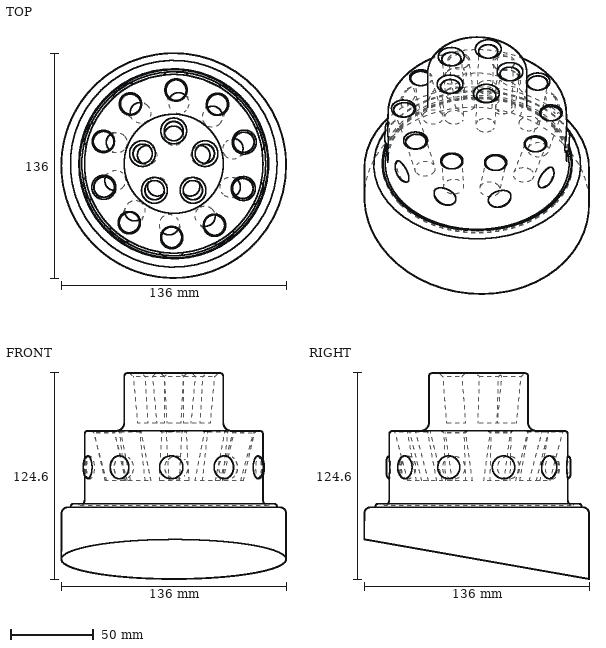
import cadquery as cq
import math

base_diameter = 136.0
base_top_z = 43.5
base_edge_radius = 4.0
underside_slope = 10.0

turret_axis_y = 1.1

collar_diameter = 125.0
collar_bore = 114.8
collar_height = 2.2
collar_edge_radius = 2.0

foot_diameter = 113.8
drum_diameter = 108.0
drum_top_z = 89.6
post_diameter = 60.0
post_top_z = 124.6
turret_edge_radius = 1.9
post_cove_radius = 5.0
foot_height = 1.1
foot_cove_radius = 5.0
foot_cove_height = 3.7

drum_hole_angles = (1.8, 36.4, 72.9, 109.6, 146.4, 181.6, 217.0, 251.4, 287.6, 324.1)
drum_hole_circle_radius = 44.6
drum_hole_diameter = 12.1
drum_hole_lean = 15.0
drum_hole_skew = 13.0
drum_hole_depth = 29.9
drum_countersink = 0.7
wide_drum_countersink = 1.2
wide_countersink_holes = (2, 3, 7)

button_count = 10
first_button_angle = 1.6
button_diameter = 14.3
button_edge_radius = 2.7
button_face_radius = 55.6
button_z = 67.6

post_hole_count = 5
post_hole_circle_radius = 19.9
post_hole_diameter = 11.5
post_hole_lean = 5.5
post_hole_depth = 29.9
post_countersink = 2.0


def make_base():
    radius = base_diameter / 2
    slope_rise = base_diameter * math.tan(math.radians(underside_slope))
    disc = cq.Workplane("XY").circle(radius).extrude(base_top_z)
    disc = disc.faces(">Z").edges().fillet(base_edge_radius)
    wedge = (
        cq.Workplane("YZ")
        .polyline([(radius, 0), (-radius, slope_rise), (-radius, 0)])
        .close()
        .extrude(radius, both=True)
    )
    return disc.cut(wedge)


def make_collar():
    ring = (
        cq.Workplane("XY", origin=(0, turret_axis_y, base_top_z))
        .circle(collar_diameter / 2)
        .extrude(collar_height)
        .faces(">Z")
        .edges()
        .fillet(collar_edge_radius)
    )
    return ring.faces(">Z").workplane().hole(collar_bore)


def make_turret_body():
    """Revolve the half profile about the Z axis, starting at the bottom centre."""
    diagonal = math.sqrt(0.5)
    foot_radius = foot_diameter / 2
    drum_radius = drum_diameter / 2
    post_radius = post_diameter / 2
    edge = turret_edge_radius
    foot_top_z = base_top_z + foot_height
    foot_cove_end_angle = math.asin(foot_cove_height / foot_cove_radius)

    def foot_cove_point(angle):
        """Point of the foot cove, with the angle measured from where the cove meets the drum."""
        return (
            drum_radius + foot_cove_radius * (1 - math.cos(angle)),
            foot_top_z + foot_cove_height - foot_cove_radius * math.sin(angle),
        )

    post_cove_middle = post_radius + post_cove_radius * (1 - diagonal)
    edge_inset = edge * (1 - diagonal)
    return (
        cq.Workplane("XZ")
        .moveTo(0, base_top_z)
        .lineTo(foot_radius, base_top_z)
        .lineTo(foot_radius, foot_top_z)
        .lineTo(*foot_cove_point(foot_cove_end_angle))
        .threePointArc(foot_cove_point(foot_cove_end_angle / 2), foot_cove_point(0))
        .lineTo(drum_radius, drum_top_z - edge)
        .threePointArc((drum_radius - edge_inset, drum_top_z - edge_inset), (drum_radius - edge, drum_top_z))
        .lineTo(post_radius + post_cove_radius, drum_top_z)
        .threePointArc(
            (post_cove_middle, drum_top_z + post_cove_radius * (1 - diagonal)),
            (post_radius, drum_top_z + post_cove_radius),
        )
        .lineTo(post_radius, post_top_z - edge)
        .threePointArc((post_radius - edge_inset, post_top_z - edge_inset), (post_radius - edge, post_top_z))
        .lineTo(0, post_top_z)
        .close()
        .revolve(360, (0, 0), (0, 1))
    )


def make_leaning_hole(diameter, depth, lean, countersink):
    """A hole entering at the origin that leans towards -Y going down, with a level floor and countersink."""
    overshoot = diameter
    radius = diameter / 2
    bore = (
        cq.Workplane("XY")
        .workplane(offset=-depth - overshoot)
        .circle(radius)
        .extrude(depth + 2 * overshoot)
        .rotate((0, 0, 0), (1, 0, 0), -lean)
    )
    flare = cq.Workplane(
        cq.Solid.makeCone(radius, radius + 2 * countersink, 2 * countersink, cq.Vector(0, 0, -countersink))
    )
    below_floor = (
        cq.Workplane("XY")
        .workplane(offset=-depth)
        .rect(4 * depth, 4 * depth)
        .extrude(-4 * overshoot)
    )
    return bore.cut(below_floor).union(flare)


def turn_clockwise(shape, angle):
    return shape.rotate((0, 0, 0), (0, 0, 1), -angle)


def make_button():
    """A round-edged disc on the +Y side of the drum, reaching into the drum wall."""
    inner_radius = drum_diameter / 2 - 2 * button_edge_radius
    return (
        cq.Workplane("XZ", origin=(0, inner_radius, button_z))
        .circle(button_diameter / 2)
        .extrude(inner_radius - button_face_radius)
        .faces(">Y")
        .edges()
        .fillet(button_edge_radius)
    )


def make_turret():
    turret = make_turret_body()
    button = make_button()

    for index in range(button_count):
        angle = first_button_angle + index * 360 / button_count
        turret = turret.union(turn_clockwise(button, angle))

    for index, angle in enumerate(drum_hole_angles):
        countersink = wide_drum_countersink if index in wide_countersink_holes else drum_countersink
        hole = make_leaning_hole(drum_hole_diameter, drum_hole_depth, drum_hole_lean, countersink)
        hole = turn_clockwise(hole, -drum_hole_skew).translate((0, drum_hole_circle_radius, drum_top_z))
        turret = turret.cut(turn_clockwise(hole, angle))

    post_hole = make_leaning_hole(post_hole_diameter, post_hole_depth, post_hole_lean, post_countersink)
    post_hole = post_hole.translate((0, post_hole_circle_radius, post_top_z))
    for index in range(post_hole_count):
        turret = turret.cut(turn_clockwise(post_hole, index * 360 / post_hole_count))

    return turret.translate((0, turret_axis_y, 0))


base = make_base()
collar = make_collar()
turret = make_turret()

result = cq.Compound.makeCompound([base.val(), collar.val(), turret.val()])